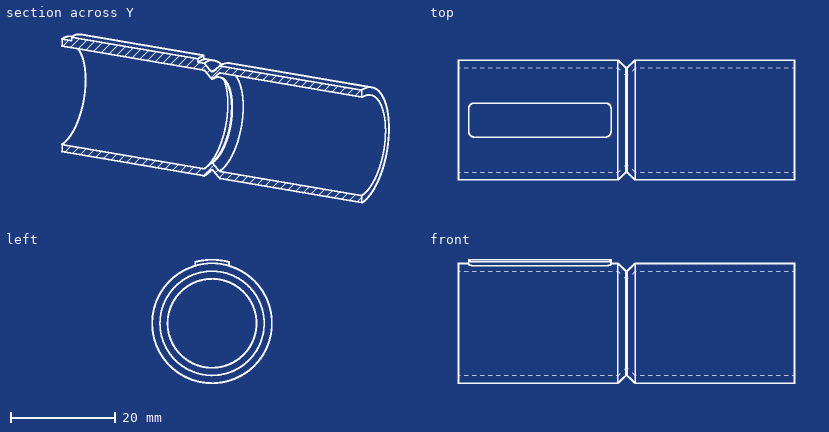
import cadquery as cq

length = 64.5
outer_diameter = 23.0
socket_diameter = 20.0
neck_diameter = 17.0

crimp_depth = (socket_diameter - neck_diameter) / 2
crimp_width = 3.3
crimp_floor_width = 0.2

pad_length = 27.3
pad_width = 6.5
pad_height = 0.7
pad_start = 2.0
pad_corner_radius = 1.0

outer_radius = outer_diameter / 2
socket_radius = socket_diameter / 2
middle = length / 2


def crimped_rod(radius):
    """Solid rod along X with the V-shaped crimp around its middle."""
    crimped_radius = radius - crimp_depth
    profile = (
        cq.Workplane("XY")
        .moveTo(0, 0)
        .lineTo(0, radius)
        .lineTo(middle - crimp_width / 2, radius)
        .lineTo(middle - crimp_floor_width / 2, crimped_radius)
        .lineTo(middle + crimp_floor_width / 2, crimped_radius)
        .lineTo(middle + crimp_width / 2, radius)
        .lineTo(length, radius)
        .lineTo(length, 0)
        .close()
    )
    return profile.revolve(360, (0, 0, 0), (1, 0, 0))


def label_pad():
    """Rounded rectangle seen from above, bounded by cylinders around the sleeve axis."""
    shell = (
        cq.Workplane("YZ", origin=(pad_start, 0, 0))
        .circle(outer_radius + pad_height)
        .circle((outer_radius + socket_radius) / 2)
        .extrude(pad_length)
    )
    outline = (
        cq.Workplane("XY")
        .center(pad_start + pad_length / 2, 0)
        .rect(pad_length, pad_width)
        .extrude(outer_diameter)
        .edges("|Z")
        .fillet(pad_corner_radius)
    )
    return shell.intersect(outline)


result = crimped_rod(outer_radius).union(label_pad()).cut(crimped_rod(socket_radius))